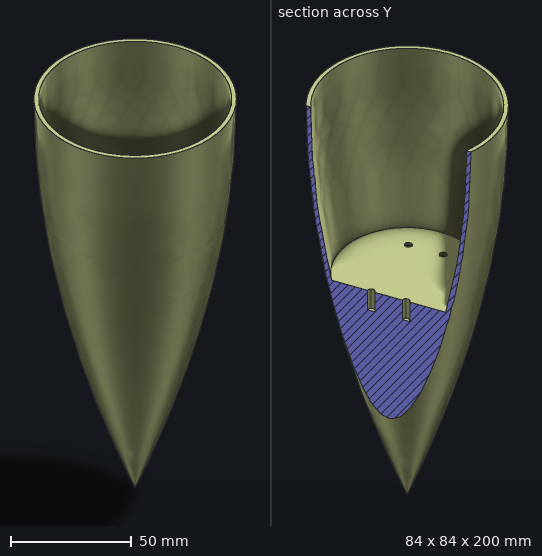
import cadquery as cq

height = 200.0
rim_radius = 42.0
slimming = 5.0
wall = 2.0
floor_height = 114.0
flank_spans = 8

hole_diameter = 3.2
hole_depth = 10.0
hole_spacing_x = 16.0
hole_spacing_y = 36.0


def outer_radius(z):
    """Outer radius at height z: the flank is vertical at the rim and ends in a point."""
    drop = 1 - z / height
    return rim_radius * (1 - drop**2) - slimming * drop**2 * (1 - drop)


def flank_points(bottom, inset):
    """Points (radius, z) from height `bottom` to the rim, `inset` inside the outer flank."""
    step = (height - bottom) / flank_spans
    levels = [bottom + i * step for i in range(flank_spans + 1)]
    return [(outer_radius(z) - inset, z) for z in levels]


def revolve_about_z(profile):
    """Full turn of a profile drawn in the YZ plane about the Z axis."""
    return profile.revolve(360, (0, 0, 0), (0, 1, 0))


def make_body():
    """Solid pointed body, closed by a flat top."""
    profile = cq.Workplane("YZ").spline(flank_points(0, 0)).lineTo(0, height).close()
    return revolve_about_z(profile)


def make_cavity():
    """Open-topped cavity that follows the flank down to the flat floor."""
    profile = (
        cq.Workplane("YZ")
        .spline(flank_points(floor_height, wall))
        .lineTo(0, height)
        .lineTo(0, floor_height)
        .close()
    )
    return revolve_about_z(profile)


def make_floor_holes():
    """Four blind holes going down from the floor, on a rectangular pattern."""
    return (
        cq.Workplane("XY")
        .workplane(offset=floor_height)
        .rarray(hole_spacing_x, hole_spacing_y, 2, 2)
        .circle(hole_diameter / 2)
        .extrude(-hole_depth)
    )


result = make_body().cut(make_cavity()).cut(make_floor_holes())